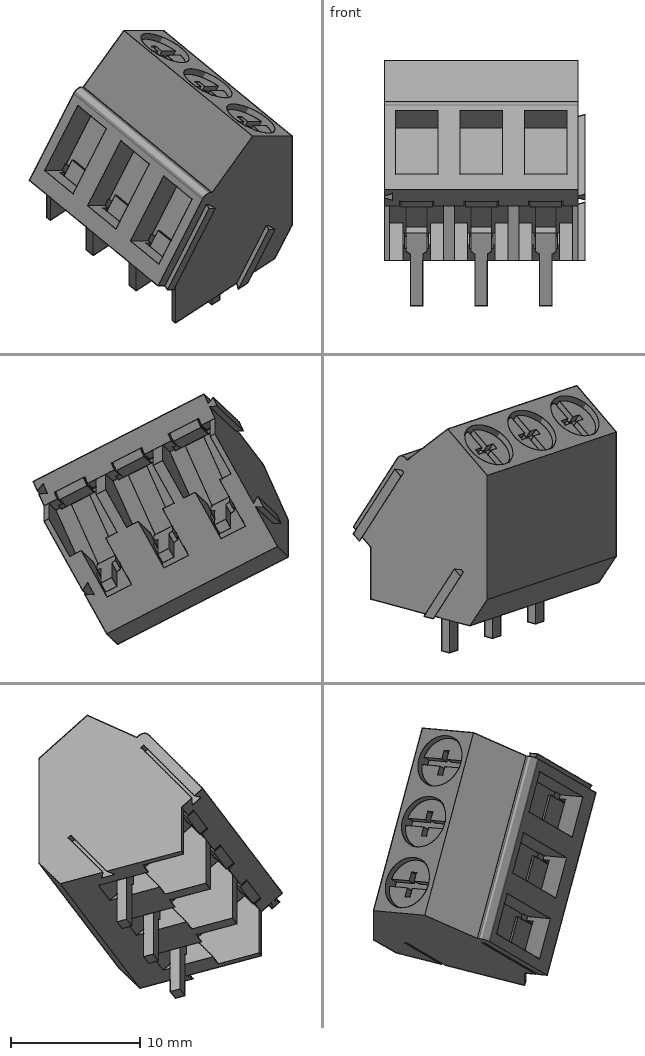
import cadquery as cq
import math


poles = 3
pitch = 5.0
housing_length = poles * pitch
tilt = math.radians(55)
lower_edge_z = 5.5

back_y = 13.9
fin_front_y = 1.8
bottom_back_y = 12.1
back_chamfer_top_z = 2.5
back_top_z = 12.6
peak_y = 9.8
peak_z = 15.5
lip_height = 8.63
lip_radius = 0.6
lip_depth = 0.8

opening_width = 3.3
opening_bottom = 1.46
opening_top = 7.47
opening_depth = 2.34
bay_width = 4.16
bay_front = 2.2
bay_back = 7.45
bay_ceiling = 2.05
below_housing = -11.4

slot_width = 2.15
slot_back = 8.8
slot_step_width = 1.85
slot_step_back = 9.27
slot_low_ceiling = 0.95
slot_low_back = 11.4

notch_width = 2.66
notch_front = 1.6
leaf_width = 2.43
leaf_front = 2.15
leaf_top = 2.7
foot_thickness = 0.48

pin_width = 1.62
pin_front_y = 7.37
pin_thickness = 0.82
tail_width = 0.97
tail_length = 3.5
tail_top_z = 0.5
shoulder_z = 0.72
bend_z = 2.15
bar_bottom = 2.13

screw_depth = 4.79
screw_diameter = 3.99
screw_hole_diameter = 4.12
screw_length = 2.85
screw_recess = 0.5
drive_slot_depth = 0.7
long_slot_width = 0.59
short_slot_width = 0.48
short_slot_length = 2.01

dovetail_reach = 0.55
dovetail_neck = 0.27
dovetail_base = 0.8
groove_clearance = 0.1
upper_dovetail = dict(depth=0.99, low=0.0, high=7.52)
lower_dovetail = dict(depth=9.95, low=-7.6, high=5.51)


def to_yz(depth, height):
    """(Y, Z) of a point given in the tilted frame."""
    y = height * math.cos(tilt) + depth * math.sin(tilt)
    z = lower_edge_z + height * math.sin(tilt) - depth * math.cos(tilt)
    return y, z


def to_tilted(y, z):
    """(depth, height) of a point given as (Y, Z)."""
    rise = z - lower_edge_z
    depth = y * math.sin(tilt) - rise * math.cos(tilt)
    height = y * math.cos(tilt) + rise * math.sin(tilt)
    return depth, height


def prism(points, center_x, width):
    """Extrude a (Y, Z) outline along X, centred on center_x."""
    outline = cq.Workplane("YZ", origin=(center_x - width / 2, 0, 0)).polyline(points).close()
    return outline.extrude(width)


def tilted_block(center_x, width, front, back, low, high):
    """Block between two depths and two heights of the tilted frame."""
    corners = [(front, low), (back, low), (back, high), (front, high)]
    return prism([to_yz(*corner) for corner in corners], center_x, width)


def tilted_plane(center_x, depth, height):
    """Workplane square to the tilted height, with local x along X and local y along depth."""
    y, z = to_yz(depth, height)
    normal = (0, math.cos(tilt), math.sin(tilt))
    return cq.Workplane(cq.Plane(origin=(center_x, y, z), xDir=(-1, 0, 0), normal=normal))


pole_centers = [pitch * (pole + 0.5) for pole in range(poles)]
top_height = to_tilted(peak_y, peak_z)[1]
overcut = 0.19


def make_pin(center_x):
    pin_back_y = pin_front_y + pin_thickness
    leg_front, leg_low = to_tilted(pin_front_y, bend_z)
    leg_back = leg_front + pin_thickness
    back_bend_height = (pin_back_y - leg_back * math.sin(tilt)) / math.cos(tilt)
    side = [
        (pin_front_y, -tail_length),
        (pin_back_y, -tail_length),
        to_yz(leg_back, back_bend_height),
        to_yz(leg_back, leaf_top),
        to_yz(leg_front, leaf_top),
        to_yz(leg_front, leg_low),
    ]
    half_pin = pin_width / 2
    half_tail = tail_width / 2
    face = [
        (-half_tail, -tail_length),
        (half_tail, -tail_length),
        (half_tail, tail_top_z),
        (half_pin, shoulder_z),
        (half_pin, peak_z),
        (-half_pin, peak_z),
        (-half_pin, shoulder_z),
        (-half_tail, tail_top_z),
    ]
    front_outline = cq.Workplane("XZ", origin=(center_x, 0, 0)).polyline(face).close().extrude(-back_y)
    leg = prism(side, center_x, pin_width).intersect(front_outline)
    bar = tilted_block(center_x, pin_width, leaf_front, leg_back, bar_bottom, leaf_top)
    leaf = tilted_block(center_x, leaf_width, leaf_front, opening_depth, 0, leaf_top)
    foot = tilted_block(center_x, leaf_width, notch_front, opening_depth, 0, foot_thickness)
    return leg.union(bar).union(leaf).union(foot)


def make_screw(center_x):
    head = top_height - screw_recess
    head_plane = tilted_plane(center_x, screw_depth, head)
    shank = head_plane.circle(screw_diameter / 2).extrude(-screw_length)
    long_slot = head_plane.rect(long_slot_width, screw_diameter + overcut).extrude(-drive_slot_depth)
    short_slot = head_plane.rect(short_slot_length, short_slot_width).extrude(-drive_slot_depth)
    return shank.cut(long_slot).cut(short_slot)


def screw_hole(center_x):
    """Blind hole whose floor carries the screw."""
    hole = tilted_plane(center_x, screw_depth, top_height + overcut).circle(screw_hole_diameter / 2)
    return hole.extrude(-(overcut + screw_recess + screw_length))


def housing_body():
    underside_depth = fin_front_y / math.sin(tilt)
    arc_middle = lip_radius * (1 - math.sqrt(0.5))
    outline = (
        cq.Workplane("YZ")
        .moveTo(fin_front_y, 0)
        .lineTo(*to_yz(underside_depth, 0))
        .lineTo(*to_yz(0, 0))
        .lineTo(*to_yz(0, lip_height - lip_radius))
        .threePointArc(to_yz(arc_middle, lip_height - arc_middle), to_yz(lip_radius, lip_height))
        .lineTo(*to_yz(lip_depth, lip_height))
        .lineTo(peak_y, peak_z)
        .lineTo(back_y, back_top_z)
        .lineTo(back_y, back_chamfer_top_z)
        .lineTo(bottom_back_y, 0)
        .close()
    )
    return outline.extrude(housing_length)


def dovetail(side_x, reach, place):
    """Bar that starts narrow at side_x and widens over the given reach in +X."""
    base = dovetail_neck + (dovetail_base - dovetail_neck) * reach / dovetail_reach
    section = [
        (0, -dovetail_neck / 2),
        (-reach, -base / 2),
        (-reach, base / 2),
        (0, dovetail_neck / 2),
    ]
    bar = tilted_plane(side_x, place["depth"], place["low"]).polyline(section).close()
    bar = bar.extrude(place["high"] - place["low"])
    above_seat = cq.Workplane("XY").box(4 * housing_length, 4 * back_y, peak_z, centered=(True, True, False))
    return bar.intersect(above_seat)


def pole_cavity(center_x):
    """Wire opening, leaf notch, clamp bay and stepped pin slot of one pole."""
    opening = tilted_block(center_x, opening_width, -overcut, opening_depth, opening_bottom, opening_top)
    notch = tilted_block(center_x, notch_width, notch_front, bay_front, -overcut, opening_bottom)
    bay = tilted_block(center_x, bay_width, bay_front, bay_back, below_housing, bay_ceiling)
    slot = tilted_block(center_x, slot_width, bay_back, slot_back, below_housing, bay_ceiling)
    step = tilted_block(center_x, slot_step_width, bay_back, slot_step_back, below_housing, bay_ceiling)
    low_slot = tilted_block(center_x, slot_width, bay_back, slot_low_back, below_housing, slot_low_ceiling)
    return opening.union(notch).union(bay).union(slot).union(step).union(low_slot)


def make_housing():
    body = housing_body()
    for place in (upper_dovetail, lower_dovetail):
        body = body.union(dovetail(housing_length, dovetail_reach, place))
        body = body.cut(dovetail(0, dovetail_reach + groove_clearance, place))
    for center_x in pole_centers:
        body = body.cut(pole_cavity(center_x)).cut(screw_hole(center_x)).cut(make_pin(center_x))
    return body


housing = make_housing()
pins = [make_pin(center_x) for center_x in pole_centers]
screws = [make_screw(center_x) for center_x in pole_centers]

result = cq.Compound.makeCompound(
    [housing.val()] + [pin.val() for pin in pins] + [screw.val() for screw in screws]
)